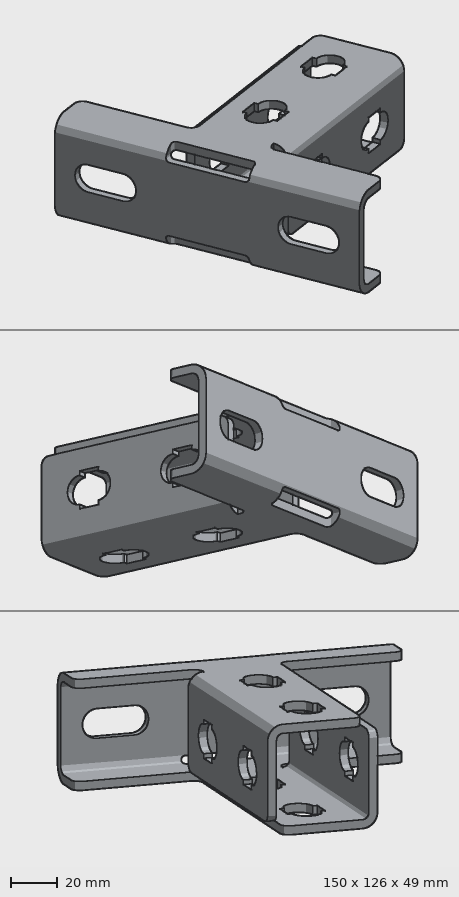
import cadquery as cq

sheet = 4.0
plate_length = 150.0
height = 49.0
depth = 126.0
half_height = height / 2

flange_depth = 21.0
channel_bend_radius = 8.0
corner_radius = 4.0

arm_width = 50.0
arm_length = 100.0
arm_bend_radius = 7.0
arm_start = depth - arm_length
neck_half_width = arm_width / 2 - arm_bend_radius
wall_edge_gap = 6.0

slot_length = 30.0
slot_width = 13.0
slot_spacing = 100.0

arm_slot_length = 23.0
arm_slot_width = 13.0
notch_span = 17.0
notch_length = 10.0
arm_slot_spacing = 50.0
end_slot_setback = 25.5
arm_slot_center = depth - end_slot_setback - arm_slot_spacing / 2

window_length = 41.0
window_reach = 7.0
window_corner_radius = 2.0


def block(x_range, y_range, z_range):
    """Box spanning the given (low, high) pair along each axis."""
    (x0, x1), (y0, y1), (z0, z1) = x_range, y_range, z_range
    return cq.Workplane("XY").box(x1 - x0, y1 - y0, z1 - z0, centered=False).translate((x0, y0, z0))


def half_turn(body):
    """Rotate half a turn about the arm's long axis."""
    return body.rotate((0, 0, 0), (0, 1, 0), 180)


def front_channel():
    """U-section along X, open to the rear, with rounded flange corners."""
    half_length = plate_length / 2
    outer = block((-half_length, half_length), (0, flange_depth), (-half_height, half_height))
    outer = outer.edges("|X and <Y").fillet(channel_bend_radius)
    inner_half_height = half_height - sheet
    inner = block((-half_length, half_length), (sheet, flange_depth), (-inner_half_height, inner_half_height))
    inner = inner.edges("|X and <Y").fillet(channel_bend_radius - sheet)
    return outer.cut(inner).edges("|Z and >Y").fillet(corner_radius)


def neck_root(side):
    """Concave fillet piece between the top flange and one side of the neck."""
    x_inner = side * neck_half_width
    x_outer = x_inner + side * corner_radius
    y_outer = flange_depth + corner_radius
    return (
        cq.Workplane("XY", origin=(0, 0, half_height - sheet))
        .moveTo(x_inner, flange_depth)
        .lineTo(x_outer, flange_depth)
        .radiusArc((x_inner, y_outer), side * corner_radius)
        .close()
        .extrude(sheet)
    )


def arm_half():
    """Top plate of the arm, bent down into the +X side wall."""
    side_x = arm_width / 2
    wall_bottom = wall_edge_gap - half_height
    outer = block((-neck_half_width, side_x), (arm_start, depth), (wall_bottom, half_height))
    outer = outer.edges("|Y and >X and >Z").fillet(arm_bend_radius)
    inner = block((-neck_half_width, side_x - sheet), (arm_start, depth), (wall_bottom, half_height - sheet))
    inner = inner.edges("|Y and >X and >Z").fillet(arm_bend_radius - sheet)
    angle = outer.cut(inner)
    angle = angle.edges("|X and <Z").fillet(corner_radius)
    angle = angle.edges("|Z and <X and >Y").fillet(corner_radius)
    neck = block(
        (-neck_half_width, neck_half_width),
        (flange_depth - corner_radius, arm_start),
        (half_height - sheet, half_height),
    )
    return angle.union(neck).union(neck_root(1)).union(neck_root(-1))


def front_slots():
    """Pair of obround slots through the front plate."""
    return (
        cq.Workplane("XZ")
        .rarray(slot_spacing, 1, 2, 1)
        .slot2D(slot_length, slot_width)
        .extrude(-sheet)
    )


def arm_slots(normal, span):
    """Notched slots lying along Y, cut across the whole arm along the normal."""
    base = cq.Workplane(cq.Plane(origin=(0, arm_slot_center, 0), xDir=(0, 1, 0), normal=normal))
    centers = base.rarray(arm_slot_spacing, 1, 2, 1)
    slots = centers.slot2D(arm_slot_length, arm_slot_width).extrude(span / 2, both=True)
    notches = centers.rect(notch_length, notch_span).extrude(span / 2, both=True)
    return slots.union(notches)


def bend_window():
    """Cutter for the round-cornered window across the upper bend."""
    half_window = window_length / 2
    limits = ((-half_window, half_window), (0, window_reach), (half_height - window_reach, half_height))
    through_plate = block(*limits).edges("|Y and <Z").fillet(window_corner_radius)
    through_flange = block(*limits).edges("|Z and >Y").fillet(window_corner_radius)
    return through_plate.intersect(through_flange)


upper_arm = arm_half()
upper_window = bend_window()

result = front_channel().union(upper_arm).union(half_turn(upper_arm))
result = result.cut(front_slots())
result = result.cut(arm_slots((0, 0, 1), height)).cut(arm_slots((1, 0, 0), arm_width))
result = result.cut(upper_window).cut(half_turn(upper_window))